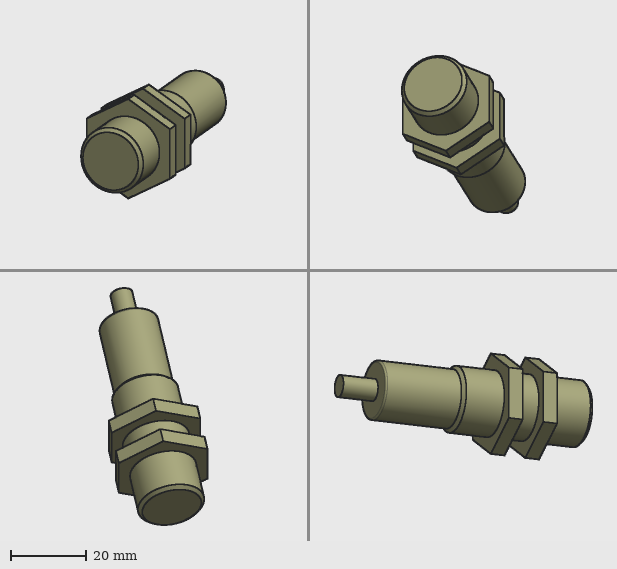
import cadquery as cq
import math


barrel_diameter = 18.0
barrel_length = 38.0
barrel_chamfer = 1.0

housing_diameter = 16.0
housing_length = 22.0
housing_fillet = 0.5

cable_diameter = 6.0
cable_length = 10.0

hexagon_sides = 6
half_side_angle = 180 / hexagon_sides
nut_across_flats = 24.0
nut_thickness = 4.0
nut_gap = 6.0
first_nut_start = 12.0
second_nut_start = first_nut_start + nut_thickness + nut_gap

housing_start = barrel_length
cable_start = housing_start + housing_length


def plane_at(y):
    """Plane normal to the sensor axis, local x along -X and local y along Z."""
    return cq.Plane(origin=(0, y, 0), xDir=(-1, 0, 0), normal=(0, 1, 0))


def cylinder(start, length, diameter):
    return cq.Workplane(plane_at(start)).circle(diameter / 2).extrude(length)


def make_barrel():
    barrel = cylinder(0, barrel_length, barrel_diameter)
    return barrel.faces("<Y or >Y").edges().chamfer(barrel_chamfer)


def make_housing():
    housing = cylinder(housing_start, housing_length, housing_diameter)
    return housing.faces(">Y").edges().fillet(housing_fillet)


def make_cable():
    return cylinder(cable_start, cable_length, cable_diameter)


def make_nut(start):
    across_corners = nut_across_flats / math.cos(math.radians(half_side_angle))
    nut = cq.Workplane(plane_at(start)).polygon(hexagon_sides, across_corners).extrude(nut_thickness)
    return nut.rotate((0, 0, 0), (0, 1, 0), half_side_angle)


result = make_barrel().union(make_housing()).union(make_cable())
for nut_start in (first_nut_start, second_nut_start):
    result = result.union(make_nut(nut_start))